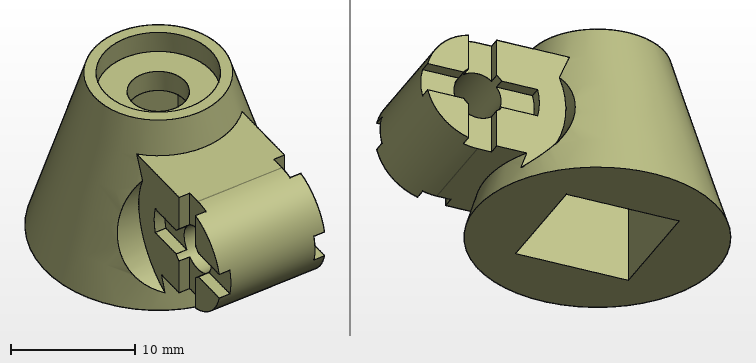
import cadquery as cq

height = 16.0
base_radius = 10.73
top_radius = 5.99

recess_radius = 5.0
recess_depth = 2.0
bore_radius = 2.5
web_thickness = 2.0
socket_side = 9.95

lug_width = 10.0
lug_radius = lug_width / 2
overall_length = 28.1
eye_x = overall_length - base_radius - lug_radius
eye_z = height / 2
eye_hole_radius = 2.08

groove_width = 2.47
groove_depth = 1.0

clearance_radius = 7.33


def cylinder_about_eye(radius, y_start, length):
    """Cylinder on the eye axis, running from y_start towards +Y."""
    return (
        cq.Workplane("XZ", origin=(eye_x, y_start, eye_z))
        .circle(radius)
        .extrude(-length)
    )


def make_cone():
    return (
        cq.Workplane("XZ")
        .polyline([(0, 0), (base_radius, 0), (top_radius, height), (0, height)])
        .close()
        .revolve(360, (0, 0, 0), (0, 1, 0))
    )


def make_lug():
    arm = cq.Workplane("XY").box(eye_x, lug_width, 2 * lug_radius).translate((eye_x / 2, 0, eye_z))
    return arm.union(cylinder_about_eye(lug_radius, -lug_width / 2, lug_width))


def make_groove_cross(y_start):
    """Upright groove across the full lug height, and a level one with ends rounded about the eye."""
    groove_center = (eye_x, y_start + groove_depth / 2, eye_z)
    upright = cq.Workplane("XY").box(groove_width, groove_depth, 2 * lug_radius).translate(groove_center)
    level = cq.Workplane("XY").box(2 * lug_radius, groove_depth, groove_width).translate(groove_center)
    level = level.intersect(cylinder_about_eye(lug_radius, y_start, groove_depth))
    return upright.union(level)


body = make_cone()
for clearance_start in (-lug_width / 2 - base_radius, lug_width / 2):
    body = body.cut(cylinder_about_eye(clearance_radius, clearance_start, base_radius))
body = body.union(make_lug())

body = body.cut(cylinder_about_eye(eye_hole_radius, -lug_width / 2, lug_width))
for groove_start in (-lug_width / 2, lug_width / 2 - groove_depth):
    body = body.cut(make_groove_cross(groove_start))

recess_floor = height - recess_depth
socket_height = recess_floor - web_thickness
recess = cq.Workplane("XY", origin=(0, 0, recess_floor)).circle(recess_radius).extrude(recess_depth)
bore = cq.Workplane("XY").circle(bore_radius).extrude(height)
socket = cq.Workplane("XY").rect(socket_side, socket_side).extrude(socket_height)

result = body.cut(recess).cut(bore).cut(socket)